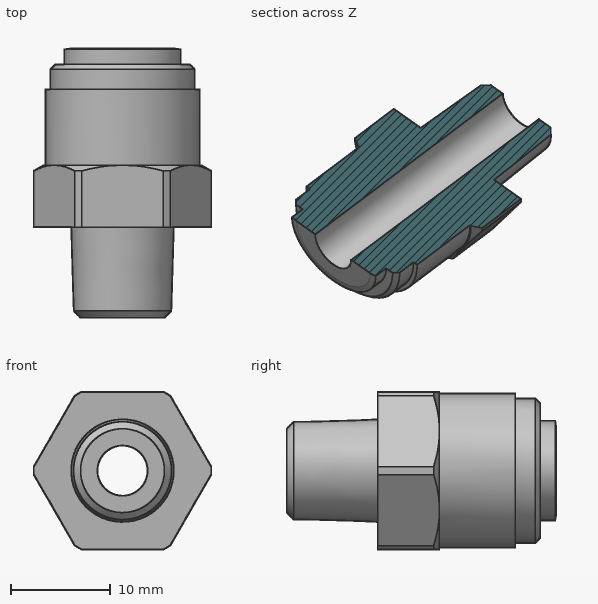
import cadquery as cq
import math

bore_diameter = 5.0

stub_tip_diameter = 9.8
stub_root_diameter = 10.3
stub_chamfer_width = 0.7
stub_chamfer_length = 0.7
stub_length = 9.1

hex_sides = 6
hex_across_flats = 15.8
hex_corner_diameter = 17.8
hex_length = 6.2
hex_chamfer_angle = 30.0

body_diameter = 15.5
body_length = 7.6
cap_diameter = 14.5
cap_length = 2.5
cap_chamfer = 0.5

ring_width = 11.7
ring_height = 10.0
ring_bevel_width = 0.7
ring_bevel_length = 0.1
overall_length = 27.0

hex_start = stub_length
hex_end = hex_start + hex_length
body_end = hex_end + body_length
cap_end = body_end + cap_length


def section_at(y):
    """Sketch plane across the axis: local X is X, local Y is Z, normal is -Y."""
    return cq.Workplane("XZ", origin=(0, y, 0))


def revolve_profile(points):
    """Solid of revolution about Y from (radius, y) points."""
    return cq.Workplane("XY").polyline(points).close().revolve(360, (0, 0, 0), (0, 1, 0))


def make_stub():
    """Stub widening from its chamfered tip towards the hexagon."""
    tip_radius = stub_tip_diameter / 2
    return revolve_profile([
        (0, 0),
        (tip_radius - stub_chamfer_width, 0),
        (tip_radius, stub_chamfer_length),
        (stub_root_diameter / 2, stub_length),
        (0, stub_length),
    ])


def make_hexagon():
    """Hexagon with flats facing +Z and -Z, corners turned round and chamfered on the body side."""
    half_corner_angle = math.radians(180 / hex_sides)
    across_corners = hex_across_flats / math.cos(half_corner_angle)
    prism = section_at(hex_start).polygon(hex_sides, across_corners).extrude(-hex_length)
    corner_radius = hex_corner_diameter / 2
    flat_radius = hex_across_flats / 2
    chamfer_length = (corner_radius - flat_radius) * math.tan(math.radians(hex_chamfer_angle))
    turned_blank = revolve_profile([
        (0, hex_start),
        (corner_radius, hex_start),
        (corner_radius, hex_end - chamfer_length),
        (flat_radius, hex_end),
        (0, hex_end),
    ])
    return prism.intersect(turned_blank)


def make_body():
    """Round body with the smaller chamfered cap at its end."""
    body_radius = body_diameter / 2
    cap_radius = cap_diameter / 2
    return revolve_profile([
        (0, hex_end),
        (body_radius, hex_end),
        (body_radius, body_end),
        (cap_radius, body_end),
        (cap_radius, cap_end - cap_chamfer),
        (cap_radius - cap_chamfer, cap_end),
        (0, cap_end),
    ])


def make_release_ring():
    """Oval ring narrowing over a shallow bevel to a flat oval end face."""
    half_width = ring_width / 2
    half_height = ring_height / 2
    bevel_start = overall_length - ring_bevel_length
    ring = section_at(cap_end).ellipse(half_width, half_height).extrude(cap_end - bevel_start)
    bevel = (
        section_at(bevel_start)
        .ellipse(half_width, half_height)
        .workplane(offset=-ring_bevel_length)
        .ellipse(half_width - ring_bevel_width, half_height - ring_bevel_width)
        .loft()
    )
    return ring.union(bevel)


def make_bore():
    """Plain round passage through the whole length."""
    return section_at(0).circle(bore_diameter / 2).extrude(-overall_length)


fitting = make_stub().union(make_hexagon()).union(make_body()).union(make_release_ring())
result = fitting.cut(make_bore())